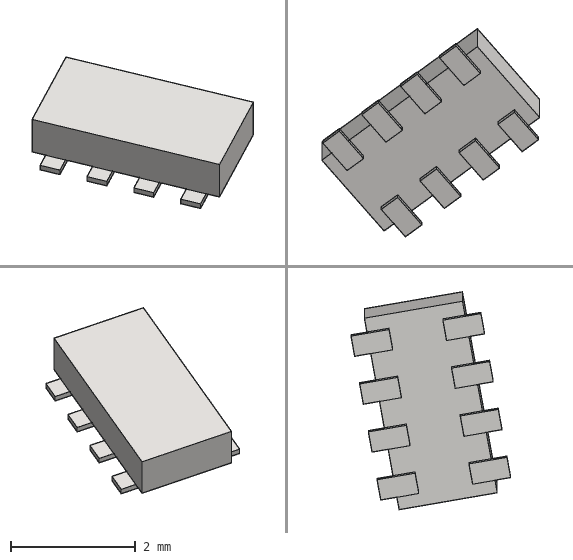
import cadquery as cq

body_length = 3.2
body_width = 1.6
overall_width = 2.12
overall_height = 0.8

lead_thickness = 0.1
lead_width = 0.34
lead_length = 0.62
lead_pitch = 0.8
leads_per_side = 4

body_height = overall_height - lead_thickness
lead_center_y = (overall_width - lead_length) / 2
first_lead_x = -lead_pitch * (leads_per_side - 1) / 2


def make_body():
    """Rectangular package body resting on top of the leads."""
    return (
        cq.Workplane("XY")
        .workplane(offset=lead_thickness)
        .rect(body_length, body_width)
        .extrude(body_height)
    )


def make_lead(center_x, center_y):
    """Flat lead with its underside at Z = 0, running outward along Y."""
    return (
        cq.Workplane("XY")
        .center(center_x, center_y)
        .rect(lead_width, lead_length)
        .extrude(lead_thickness)
    )


body = make_body()

leads = []
for side in (-1, 1):
    for index in range(leads_per_side):
        lead_x = first_lead_x + index * lead_pitch
        leads.append(make_lead(lead_x, side * lead_center_y))

result = cq.Compound.makeCompound([body.val(), *[lead.val() for lead in leads]])